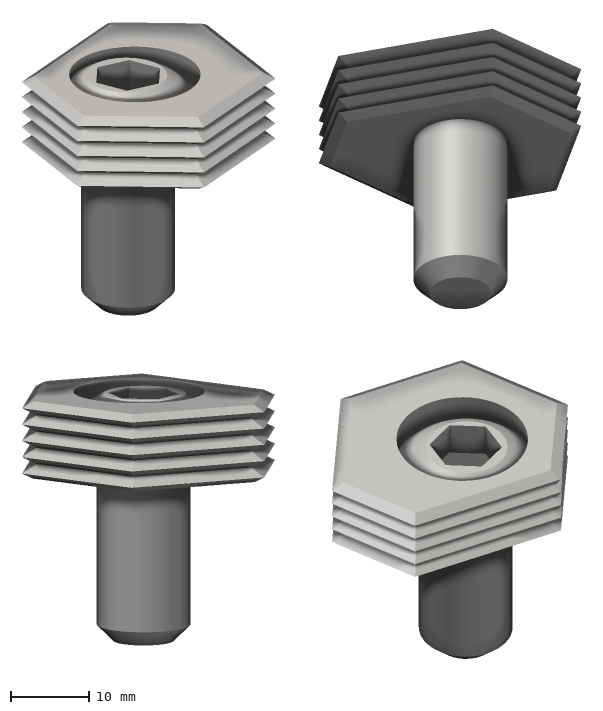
import cadquery as cq
import math


FACE_COUNT = 6
FACE_ANGLE = 360 / FACE_COUNT
NEAREST_FACE_DISTANCE = 12.0
FACE_DISTANCE_STEP = 1.0
NEAREST_FACE_DIRECTION = 180
PLATE_THICKNESS = 10.0

RIDGE_COUNT = 5
RIDGE_PITCH = 2.1
TOP_RIDGE_DEPTH = 0.8
RIDGE_FLANK_ANGLE = 30

SHAFT_RADIUS = 6.0
SHAFT_PROJECTION = 22.35
TIP_CHAMFER = 2.08
ECCENTRICITY = 1.0
SHAFT_X = -ECCENTRICITY
HEAD_RADIUS = 8.28
HEAD_CLEARANCE = 0.1
COUNTERBORE_RADIUS = HEAD_RADIUS + HEAD_CLEARANCE
COUNTERBORE_DEPTH = 7.0
SEAT_Z = PLATE_THICKNESS - COUNTERBORE_DEPTH

DOME_RADIUS = 12.15
DOME_X = -1.28
FLAT_RADIUS = 5.2
FLAT_DEPTH = 0.38
FLAT_Z = PLATE_THICKNESS - FLAT_DEPTH
DOME_CENTRE_Z = FLAT_Z - math.sqrt(DOME_RADIUS**2 - FLAT_RADIUS**2)
SOCKET_SIDES = 6
SOCKET_ACROSS_FLATS = 8.0
SOCKET_ACROSS_CORNERS = SOCKET_ACROSS_FLATS / math.cos(math.pi / SOCKET_SIDES)
SOCKET_DEPTH = 4.5


def hexagon_corners(inset, z):
    """Corners at height z of the uneven hexagon, with every face moved inwards by inset."""
    distances = [NEAREST_FACE_DISTANCE + i * FACE_DISTANCE_STEP - inset for i in range(FACE_COUNT)]
    turn = math.radians(FACE_ANGLE)
    corners = []
    for i, distance in enumerate(distances):
        next_distance = distances[(i + 1) % FACE_COUNT]
        direction = math.radians(NEAREST_FACE_DIRECTION) + i * turn
        along = (next_distance - distance * math.cos(turn)) / math.sin(turn)
        x = distance * math.cos(direction) - along * math.sin(direction)
        y = distance * math.sin(direction) + along * math.cos(direction)
        corners.append(cq.Vector(x, y, z))
    return corners


def flat_face(corners):
    """Planar face bounded by straight edges between the corners."""
    return cq.Face.makeFromWires(cq.Wire.makePolygon(corners, close=True))


def solid_through(sections):
    """Solid with flat sides that join each hexagon to the next one below."""
    faces = [flat_face(sections[0]), flat_face(sections[-1])]
    for upper, lower in zip(sections, sections[1:]):
        for i in range(FACE_COUNT):
            j = (i + 1) % FACE_COUNT
            faces.append(flat_face([upper[i], lower[i], lower[j], upper[j]]))
    return cq.Solid.makeSolid(cq.Shell.makeShell(faces))


def make_plate():
    """Ridged hexagonal plate, counterbored for the screw head."""
    slope = math.tan(math.radians(RIDGE_FLANK_ANGLE))
    groove_depth = RIDGE_PITCH / 2 / slope
    first_crest_z = PLATE_THICKNESS - TOP_RIDGE_DEPTH
    last_crest_z = first_crest_z - (RIDGE_COUNT - 1) * RIDGE_PITCH

    sections = [hexagon_corners(TOP_RIDGE_DEPTH / slope, PLATE_THICKNESS)]
    for i in range(RIDGE_COUNT):
        crest_z = first_crest_z - i * RIDGE_PITCH
        sections.append(hexagon_corners(0, crest_z))
        if i < RIDGE_COUNT - 1:
            sections.append(hexagon_corners(groove_depth, crest_z - RIDGE_PITCH / 2))
    sections.append(hexagon_corners(last_crest_z / slope, 0))
    plate = cq.Workplane(solid_through(sections))

    counterbore = (
        cq.Workplane("XY").workplane(offset=SEAT_Z).circle(COUNTERBORE_RADIUS).extrude(COUNTERBORE_DEPTH)
    )
    shaft_hole = cq.Workplane("XY").center(SHAFT_X, 0).circle(SHAFT_RADIUS).extrude(SEAT_Z)
    return plate.cut(counterbore).cut(shaft_hole)


def make_screw():
    """Screw whose head stands off-centre on its shaft."""
    shaft = (
        cq.Workplane("XY")
        .workplane(offset=-SHAFT_PROJECTION)
        .center(SHAFT_X, 0)
        .circle(SHAFT_RADIUS)
        .extrude(SHAFT_PROJECTION + SEAT_Z)
        .faces("<Z")
        .chamfer(TIP_CHAMFER)
    )
    head = cq.Workplane("XY").workplane(offset=SEAT_Z).circle(HEAD_RADIUS).extrude(FLAT_Z - SEAT_Z)
    dome = cq.Workplane("XY").sphere(DOME_RADIUS).translate((DOME_X, 0, DOME_CENTRE_Z))
    head = head.intersect(dome)

    socket = (
        cq.Workplane("XY")
        .workplane(offset=FLAT_Z - SOCKET_DEPTH)
        .center(SHAFT_X, 0)
        .polygon(SOCKET_SIDES, SOCKET_ACROSS_CORNERS)
        .extrude(SOCKET_DEPTH)
    )
    return shaft.union(head).cut(socket)


plate = make_plate()
screw = make_screw()
result = cq.Compound.makeCompound([plate.solids().val(), screw.solids().val()])